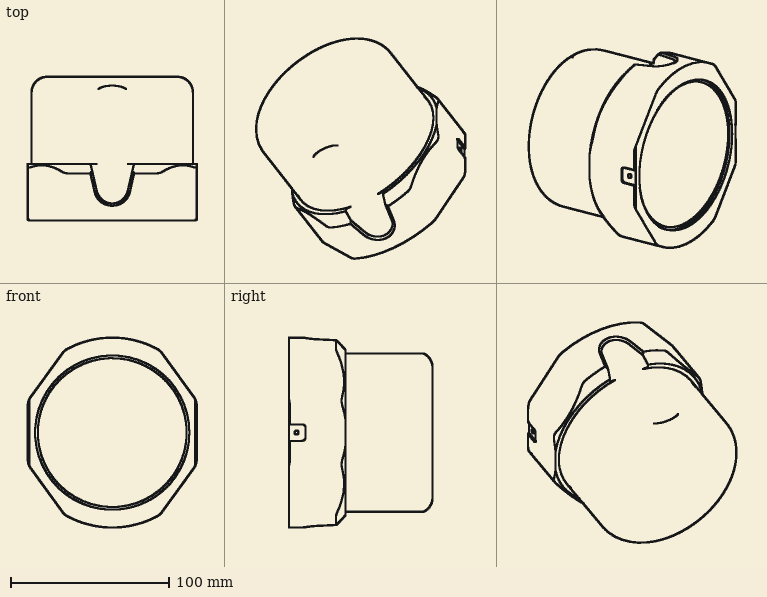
import cadquery as cq
import math


TOTAL_LENGTH = 90.8
CUP_RADIUS = 51.0
WALL = 4.0
END_ROUND = 10.0
CUP_FLAT_HEIGHT = 50.0

COLLAR_LENGTH = 35.8
COLLAR_RADIUS = 60.0
SIDE_WIDTH = 106.8
SLOPED_FLAT_DISTANCE = 54.9
SLOPED_FLAT_ANGLE = 36.0
CORNER_ROUND = 10.0
SHOULDER_CHAMFER = 6.0

BORE_RADIUS = CUP_RADIUS - WALL
MOUTH_STEP = 1.7
MOUTH_RADIUS = BORE_RADIUS + MOUTH_STEP
MOUTH_DEPTH = 2.0

NOTCH_LENGTH = 25.0
NOTCH_ROUND = 10.0
NOTCH_WALL_ANGLE = 13.0
NOTCH_CHAMFER = 1.5
NOTCH_FLOOR_ROUND = 0.5

BEVEL_DEPTH = 1.1
BEVEL_LENGTH = 0.7
POCKET_LENGTH = 10.5
POCKET_WIDTH = 10.3
POCKET_DEPTH = 1.0
POCKET_ROUND = 2.0
DIMPLE_RADIUS = 1.25
DIMPLE_DISTANCE = 4.9


def cylinder(radius, start, end):
    """Solid cylinder on the Y axis between two Y positions."""
    return cq.Workplane("XZ", origin=(0, start, 0)).circle(radius).extrude(start - end)


def both_sides(shape, mirror_plane):
    """The shape together with its mirror image."""
    return shape.union(shape.mirror(mirror_plane))


def make_cup():
    """Round cup body with a rounded closed end and flats on its top and bottom."""
    cup = cylinder(CUP_RADIUS, 0, TOTAL_LENGTH).faces(">Y").edges().fillet(END_ROUND)
    flats = cq.Workplane("XY").box(2 * CUP_RADIUS, 2 * TOTAL_LENGTH, 2 * CUP_FLAT_HEIGHT)
    return cup.intersect(flats)


def make_collar_blank():
    """Disc, still without notches, trimmed by two side flats and four sloped flats, with rounded corners."""
    collar = cylinder(COLLAR_RADIUS, 0, COLLAR_LENGTH)
    slab_length = 4 * COLLAR_RADIUS
    flat_pairs = (
        (0, SIDE_WIDTH),
        (SLOPED_FLAT_ANGLE, 2 * SLOPED_FLAT_DISTANCE),
        (-SLOPED_FLAT_ANGLE, 2 * SLOPED_FLAT_DISTANCE),
    )
    for angle, width in flat_pairs:
        slab = cq.Workplane("XY").box(width, slab_length, slab_length)
        collar = collar.intersect(slab.rotate((0, 0, 0), (0, 1, 0), angle))
    return collar.edges("|Y").fillet(CORNER_ROUND)


def make_notch():
    """Tapered, round-ended notch through the top of the collar, with a rounded floor edge."""
    angle = math.radians(NOTCH_WALL_ANGLE)
    center_y = COLLAR_LENGTH - NOTCH_LENGTH + NOTCH_ROUND
    tangent_x = NOTCH_ROUND * math.cos(angle)
    tangent_y = center_y - NOTCH_ROUND * math.sin(angle)
    open_y = COLLAR_LENGTH + NOTCH_ROUND
    open_x = tangent_x + (open_y - tangent_y) * math.tan(angle)
    notch = (
        cq.Workplane("XY", origin=(0, 0, CUP_FLAT_HEIGHT))
        .moveTo(-open_x, open_y)
        .lineTo(-tangent_x, tangent_y)
        .threePointArc((0, center_y - NOTCH_ROUND), (tangent_x, tangent_y))
        .lineTo(open_x, open_y)
        .close()
        .extrude(COLLAR_RADIUS)
    )
    return notch.faces("<Z").edges("not >Y").fillet(NOTCH_FLOOR_ROUND)


def chamfer_notch_rim(collar):
    """Chamfer the edges where the top notch's walls meet the collar's round surface."""
    half_width = 1.5 * NOTCH_ROUND
    lowest_z = (CUP_FLAT_HEIGHT + COLLAR_RADIUS) / 2 + NOTCH_CHAMFER
    rim_start_y = (COLLAR_LENGTH - NOTCH_LENGTH) / 2
    rim = cq.selectors.BoxSelector(
        (-half_width, rim_start_y, lowest_z),
        (half_width, COLLAR_LENGTH, COLLAR_RADIUS),
    )
    return collar.edges(rim).chamfer(NOTCH_CHAMFER)


def make_shoulder_envelope():
    """Envelope that bevels the collar's shoulder."""
    return cylinder(COLLAR_RADIUS, 0, COLLAR_LENGTH).faces(">Y").chamfer(SHOULDER_CHAMFER)


def make_collar():
    """Collar with chamfered notches and a bevelled shoulder."""
    collar = make_collar_blank().cut(make_notch())
    collar = chamfer_notch_rim(collar)
    collar = collar.intersect(collar.mirror("XY"))
    return collar.intersect(make_shoulder_envelope())


def make_bore():
    """Blind bore with a rounded bottom and a wider mouth."""
    bore = cylinder(BORE_RADIUS, 0, TOTAL_LENGTH - WALL)
    bore = bore.faces(">Y").edges().fillet(END_ROUND - WALL)
    return bore.union(cylinder(MOUTH_RADIUS, 0, MOUTH_DEPTH))


def make_side_cuts():
    """Mouth bevel, rounded pocket and dimple for the +X side flat."""
    side_x = SIDE_WIDTH / 2
    floor_x = side_x - POCKET_DEPTH
    bevel = (
        cq.Workplane("XY")
        .polyline([(side_x, 0), (side_x - BEVEL_DEPTH, 0), (side_x, BEVEL_LENGTH)])
        .close()
        .extrude(COLLAR_RADIUS, both=True)
    )
    pocket = (
        cq.Workplane("YZ", origin=(floor_x, 0, 0))
        .rect(2 * POCKET_LENGTH, POCKET_WIDTH)
        .extrude(2 * POCKET_DEPTH)
        .edges("|X")
        .fillet(POCKET_ROUND)
    )
    dimple = cq.Workplane("XY").sphere(DIMPLE_RADIUS).translate((floor_x, DIMPLE_DISTANCE, 0))
    return bevel.union(pocket).union(dimple)


result = make_cup().union(make_collar())
result = result.cut(make_bore())
result = result.cut(both_sides(make_side_cuts(), "YZ"))